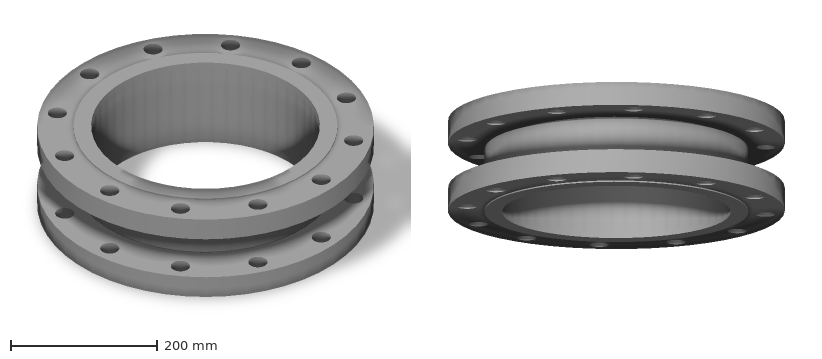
import cadquery as cq

overall_height = 130.0
flange_diameter = 460.0
flange_thickness = 32.0
raised_face_diameter = 360.5
raised_face_height = 2.0

bore_diameter = 312.5
pipe_wall = 3.0
pipe_diameter = bore_diameter + 2 * pipe_wall
band_diameter = raised_face_diameter
band_height = 49.0
corner_radius = 3.0

bolt_count = 12
bolt_circle_diameter = 410.5
bolt_hole_diameter = 26.0
first_bolt_angle = 180 / bolt_count

flange_underside = overall_height / 2 - raised_face_height - flange_thickness


def disc(diameter, height):
    """Solid cylinder about Z, centred on the origin."""
    return cq.Workplane("XY").cylinder(height, diameter / 2)


def make_banded_pipe():
    """Solid pipe with its band, rounded along both edges of each flat band side."""
    banded_pipe = disc(pipe_diameter, 2 * flange_underside).union(disc(band_diameter, band_height))
    band_sides = banded_pipe.faces("|Z").faces(">Z[-2] or <Z[-2]")
    return band_sides.edges().fillet(corner_radius)


def make_upper_flange():
    """Solid flange with its raised sealing face on top."""
    plate = cq.Workplane("XY", origin=(0, 0, flange_underside))
    plate = plate.circle(flange_diameter / 2).extrude(flange_thickness)
    sealing_face = plate.faces(">Z").workplane().circle(raised_face_diameter / 2)
    return sealing_face.extrude(raised_face_height)


def make_bolt_holes():
    """Cutters that pass through both flanges."""
    holes = cq.Workplane("XY").polarArray(bolt_circle_diameter / 2, first_bolt_angle, 360, bolt_count)
    return holes.cylinder(overall_height, bolt_hole_diameter / 2)


upper_flange = make_upper_flange()
lower_flange = upper_flange.mirror("XY")
bore = disc(bore_diameter, overall_height)

result = make_banded_pipe().union(upper_flange).union(lower_flange).cut(bore).cut(make_bolt_holes())